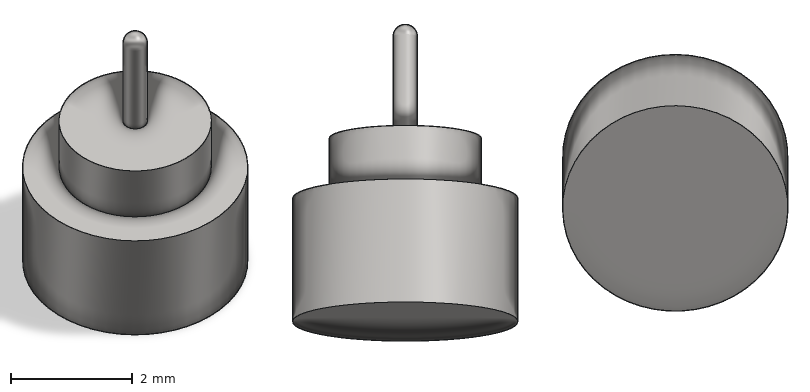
import cadquery as cq

total_height = 4.95

base_diameter = 3.7
base_height = 2.05

shoulder_diameter = 2.5
shoulder_height = 1.0

pin_diameter = 0.4
pin_radius = pin_diameter / 2
shoulder_top = base_height + shoulder_height
pin_straight_length = total_height - shoulder_top - pin_radius


def cylinder(diameter, height, bottom):
    """Upright cylinder on the Z axis, starting at the given height."""
    return cq.Workplane("XY").workplane(offset=bottom).circle(diameter / 2).extrude(height)


base = cylinder(base_diameter, base_height, 0)
shoulder = cylinder(shoulder_diameter, shoulder_height, base_height)
pin = cylinder(pin_diameter, pin_straight_length, shoulder_top)
pin_tip = cq.Workplane("XY").sphere(pin_radius).translate((0, 0, total_height - pin_radius))

result = base.union(shoulder).union(pin).union(pin_tip)